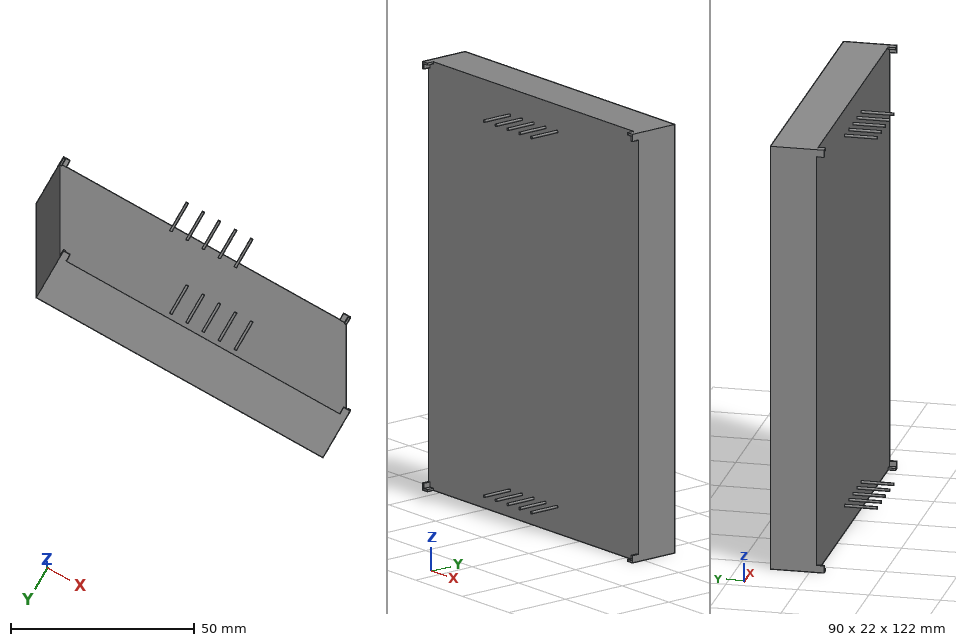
import cadquery as cq

width = 90.0
height = 122.0
total_depth = 22.0

body_depth = 12.9

foot_height = 2.1
foot_leg = 2.1
foot_wall = 0.6

pins_per_row = 5
row_length = 20.3
row_spacing = 106.8
pin_diameter = 0.7

pin_length = total_depth - body_depth
pin_pitch = row_length / (pins_per_row - 1)


def make_body():
    """Plain block whose front face lies on Y = 0."""
    return cq.Workplane("XY").box(width, body_depth, height, centered=(True, False, True))


def make_foot(side_x, side_z):
    """Angle-section foot on the front face, flush with one corner of the block."""
    corner_x = side_x * width / 2
    corner_z = side_z * height / 2
    inner_x = corner_x - side_x * foot_wall
    inner_z = corner_z - side_z * foot_wall
    tip_x = corner_x - side_x * foot_leg
    tip_z = corner_z - side_z * foot_leg
    section = [
        (corner_x, corner_z),
        (tip_x, corner_z),
        (tip_x, inner_z),
        (inner_x, inner_z),
        (inner_x, tip_z),
        (corner_x, tip_z),
    ]
    return cq.Workplane("XZ").polyline(section).close().extrude(foot_height)


def make_pins():
    """Round pins standing out from the front face in two horizontal rows."""
    return (
        cq.Workplane("XZ")
        .rarray(pin_pitch, row_spacing, pins_per_row, 2)
        .circle(pin_diameter / 2)
        .extrude(pin_length)
    )


result = make_body()
for side_x in (-1, 1):
    for side_z in (-1, 1):
        result = result.union(make_foot(side_x, side_z))
result = result.union(make_pins())